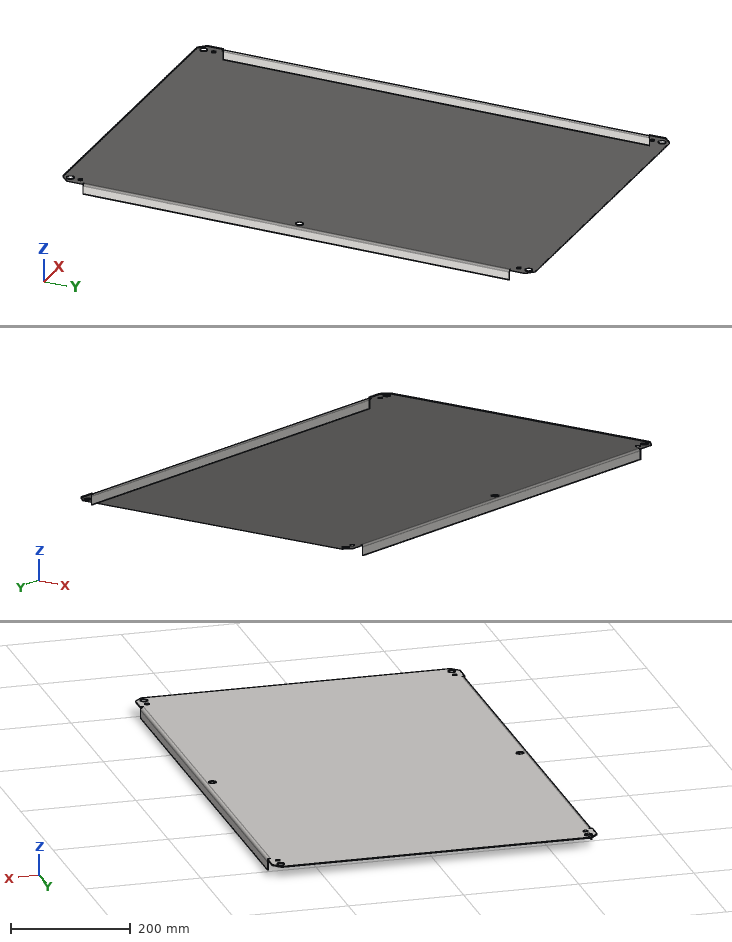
import cadquery as cq

width = 564.0
length = 869.0
height = 20.0
sheet = 2.0
bend_radius = 5.0
corner_chamfer = 13.0
flange_end_gap = 42.5

large_diameter = 13.0
small_diameter = 7.9
hole_side_inset = 15.0
large_end_inset = 13.0
small_end_inset = 31.0

flange_length = length - 2 * flange_end_gap


def make_folded_channel():
    """Channel section with rounded folds, along Y, top face at Z = height."""
    outer = cq.Workplane("XY").box(width, flange_length, height, centered=(True, True, False))
    outer = outer.edges("|Y and >Z").fillet(bend_radius)
    inner_width = width - 2 * sheet
    inner_height = height - sheet
    inner = cq.Workplane("XY").box(inner_width, flange_length, inner_height, centered=(True, True, False))
    inner = inner.edges("|Y and >Z").fillet(bend_radius - sheet)
    return outer.cut(inner)


def make_end_plate(side):
    """Flat, full-width end of the panel with its two outer corners cut off."""
    plate = cq.Workplane("XY").box(width, flange_end_gap, sheet, centered=(True, True, False))
    outer_end = ">Y" if side > 0 else "<Y"
    plate = plate.faces(outer_end).edges("|Z").chamfer(corner_chamfer)
    center_y = side * (length - flange_end_gap) / 2
    return plate.translate((0, center_y, height - sheet))


def make_holes(diameter, rows):
    """Through-hole cutters near both long sides, at each Y position in rows."""
    hole_x = width / 2 - hole_side_inset
    points = [(x, y) for x in (-hole_x, hole_x) for y in rows]
    return cq.Workplane("XY").pushPoints(points).circle(diameter / 2).extrude(height)


large_row = length / 2 - large_end_inset
small_row = length / 2 - small_end_inset

panel = make_folded_channel()
for side in (-1, 1):
    panel = panel.union(make_end_plate(side))

panel = panel.cut(make_holes(large_diameter, (-large_row, 0, large_row)))
result = panel.cut(make_holes(small_diameter, (-small_row, small_row)))